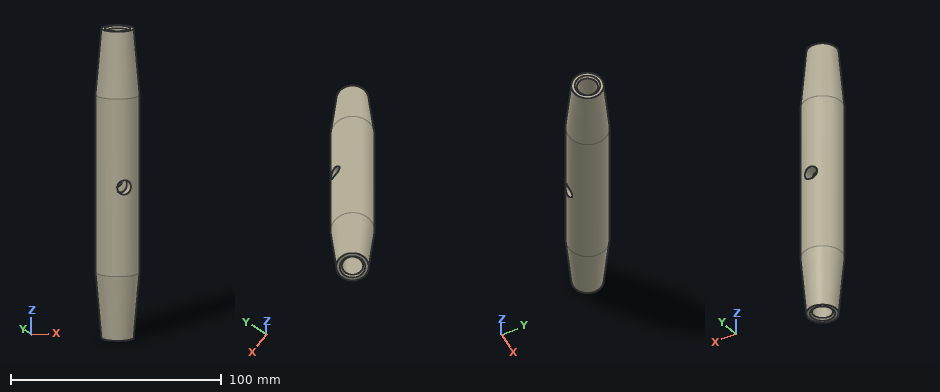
import cadquery as cq

length = 150.0
body_diameter = 21.0
end_diameter = 15.5
taper_length = 32.0

bore_diameter = 10.0
mouth_diameter = 12.0
mouth_depth = (mouth_diameter - bore_diameter) / 2

cross_hole_diameter = 6.9

half_length = length / 2
shoulder_height = half_length - taper_length


def make_tapered_tube():
    """Revolve the half section of the tube about Z."""
    body_radius = body_diameter / 2
    end_radius = end_diameter / 2
    bore_radius = bore_diameter / 2
    mouth_radius = mouth_diameter / 2
    mouth_bottom = half_length - mouth_depth
    section = [
        (bore_radius, -mouth_bottom),
        (mouth_radius, -half_length),
        (end_radius, -half_length),
        (body_radius, -shoulder_height),
        (body_radius, shoulder_height),
        (end_radius, half_length),
        (mouth_radius, half_length),
        (bore_radius, mouth_bottom),
    ]
    return cq.Workplane("XZ").polyline(section).close().revolve(360, (0, 0, 0), (0, 1, 0))


def make_cross_hole():
    """Cylinder along Y, long enough to pass through both walls."""
    return cq.Workplane("XZ").circle(cross_hole_diameter / 2).extrude(body_diameter, both=True)


result = make_tapered_tube().cut(make_cross_hole())